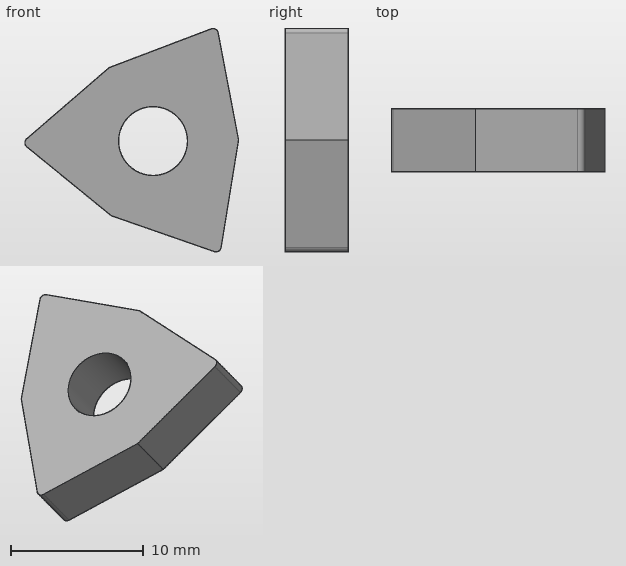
import cadquery as cq
import math

height = 16.83
thickness = 4.76
nose_angle = 80
nose_radius = 0.4
hole_diameter = 5.17
turn_angle = 0.8
nose_count = 3

pitch_angle = 360 / nose_count
nose_offset = pitch_angle / 2
blunt_angle = 360 - pitch_angle - nose_angle

nose_center_span = height - 2 * nose_radius
nose_center_distance = nose_center_span / (
    2 * math.sin(math.radians(nose_offset)) * math.cos(math.radians(turn_angle))
)
half_nose_sine = math.sin(math.radians(nose_angle / 2))
half_blunt_sine = math.sin(math.radians(blunt_angle / 2))
inscribed_radius = nose_center_distance * half_nose_sine + nose_radius
nose_distance = inscribed_radius / half_nose_sine
blunt_distance = inscribed_radius / half_blunt_sine


def polar(distance, angle):
    """Return the (x, z) point at a distance and angle in degrees from the hole axis."""
    return (
        distance * math.cos(math.radians(angle)),
        distance * math.sin(math.radians(angle)),
    )


def make_plate():
    """Six-sided plate, centred on Y = 0, with its three noses rounded."""
    corners = []
    nose_corners = []
    for index in range(nose_count):
        blunt_direction = turn_angle + index * pitch_angle
        blunt_corner = polar(blunt_distance, blunt_direction)
        nose_corner = polar(nose_distance, blunt_direction + nose_offset)
        corners += [blunt_corner, nose_corner]
        nose_corners.append(nose_corner)

    plate = cq.Workplane("XZ").polyline(corners).close().extrude(thickness / 2, both=True)
    for x, z in nose_corners:
        nose_edge = cq.NearestToPointSelector((x, 0, z))
        plate = plate.edges(nose_edge).fillet(nose_radius)
    return plate


def make_hole():
    """Cylinder that cuts the centre hole through the full thickness."""
    return cq.Workplane("XZ", origin=(0, thickness / 2, 0)).circle(hole_diameter / 2).extrude(thickness)


result = make_plate().cut(make_hole())